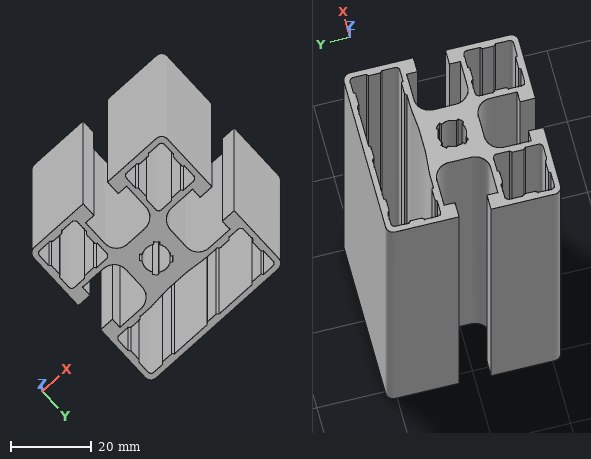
import cadquery as cq

SIDE = 45.0
LENGTH = 100.0
HALF_SIDE = SIDE / 2
CORNER_RADIUS = 2.0

MOUTH_WIDTH = 8.2
LIP_THICKNESS = 4.0
CHANNEL_WIDTH = 13.8
CHANNEL_RADIUS = 4.0
CORE_HALF_WIDTH = 7.5
SLOT_ANGLES = (0, -90, 180)

WALL = 1.5
WEB = 1.35
CHAMBER_OUTER = HALF_SIDE - WALL
CHAMBER_INNER = CHANNEL_WIDTH / 2 + WEB
CHAMBER_SIZE = CHAMBER_OUTER - CHAMBER_INNER
CHAMBER_CENTRE = (CHAMBER_OUTER + CHAMBER_INNER) / 2
CHAMBER_RADIUS = 1.0

DIP_HALF_WIDTH = 9.4
DIP_DEPTH = 0.6

RIB_HEIGHT = 0.5
RIB_TOP_WIDTH = 3.0
RIB_SPACING = 15.0

BORE_RADIUS = 3.6
GROOVE_TIP_RADIUS = 4.2
GROOVE_WIDTH = 1.6


def block(x_size, y_size, x_centre=0, y_centre=0):
    """Full-length block with the given cross section."""
    return cq.Workplane("XY").center(x_centre, y_centre).rect(x_size, y_size).extrude(LENGTH)


def t_slot(angle):
    """Cutter for one T-slot opening in the direction of the given angle."""
    channel_end = HALF_SIDE - LIP_THICKNESS
    channel = block(
        channel_end - CORE_HALF_WIDTH,
        CHANNEL_WIDTH,
        (channel_end + CORE_HALF_WIDTH) / 2,
    )
    channel = channel.edges("|Z and <X").fillet(CHANNEL_RADIUS)
    mouth_start = CORE_HALF_WIDTH + CHANNEL_RADIUS
    mouth = block(HALF_SIDE - mouth_start, MOUTH_WIDTH, (HALF_SIDE + mouth_start) / 2)
    return channel.union(mouth).rotate((0, 0, 0), (0, 0, 1), angle)


def rib(x, y, angle):
    """Rib rooted on a wall at (x, y), rising in the direction of the given angle."""
    half_top = RIB_TOP_WIDTH / 2
    half_root = half_top + RIB_HEIGHT
    profile = [(0, -half_root), (RIB_HEIGHT, -half_top), (RIB_HEIGHT, half_top), (0, half_root)]
    solid = cq.Workplane("XY").polyline(profile).close().extrude(LENGTH)
    return solid.rotate((0, 0, 0), (0, 0, 1), angle).translate((x, y, 0))


def square_chamber(side):
    """Cutter for a corner chamber beside the -Y slot; side is -1 or 1 along X."""
    x = side * CHAMBER_CENTRE
    y = -CHAMBER_CENTRE
    chamber = block(CHAMBER_SIZE, CHAMBER_SIZE, x, y).edges("|Z").fillet(CHAMBER_RADIUS)
    half = CHAMBER_SIZE / 2
    chamber = chamber.cut(rib(x - half, y, 0))
    chamber = chamber.cut(rib(x, y - half, 90))
    chamber = chamber.cut(rib(x + half, y, 180))
    return chamber.cut(rib(x, y + half, -90))


def wide_chamber():
    """Cutter for the chamber that spans the +Y side."""
    chamber = block(2 * CHAMBER_OUTER, CHAMBER_SIZE, 0, CHAMBER_CENTRE)
    chamber = chamber.edges("|Z").fillet(CHAMBER_RADIUS)
    dip = (
        cq.Workplane("XY")
        .moveTo(-DIP_HALF_WIDTH, CHAMBER_INNER)
        .threePointArc((0, CHAMBER_INNER - DIP_DEPTH), (DIP_HALF_WIDTH, CHAMBER_INNER))
        .close()
        .extrude(LENGTH)
    )
    chamber = chamber.union(dip)
    for x in (-RIB_SPACING, 0, RIB_SPACING):
        chamber = chamber.cut(rib(x, CHAMBER_OUTER, -90))
    for x in (-RIB_SPACING, RIB_SPACING):
        chamber = chamber.cut(rib(x, CHAMBER_INNER, 90))
    chamber = chamber.cut(rib(-CHAMBER_OUTER, CHAMBER_CENTRE, 0))
    return chamber.cut(rib(CHAMBER_OUTER, CHAMBER_CENTRE, 180))


def core_bore():
    """Cutter for the central bore and its diagonal grooves."""
    bore = cq.Workplane("XY").circle(BORE_RADIUS).extrude(LENGTH)
    tip_circle = cq.Workplane("XY").circle(GROOVE_TIP_RADIUS).extrude(LENGTH)
    for angle in (45, 135):
        groove = block(2 * GROOVE_TIP_RADIUS, GROOVE_WIDTH).rotate((0, 0, 0), (0, 0, 1), angle)
        bore = bore.union(groove.intersect(tip_circle))
    return bore


body = block(SIDE, SIDE).edges("|Z").fillet(CORNER_RADIUS)
for slot_angle in SLOT_ANGLES:
    body = body.cut(t_slot(slot_angle))
for chamber_side in (-1, 1):
    body = body.cut(square_chamber(chamber_side))
body = body.cut(wide_chamber())
result = body.cut(core_bore())